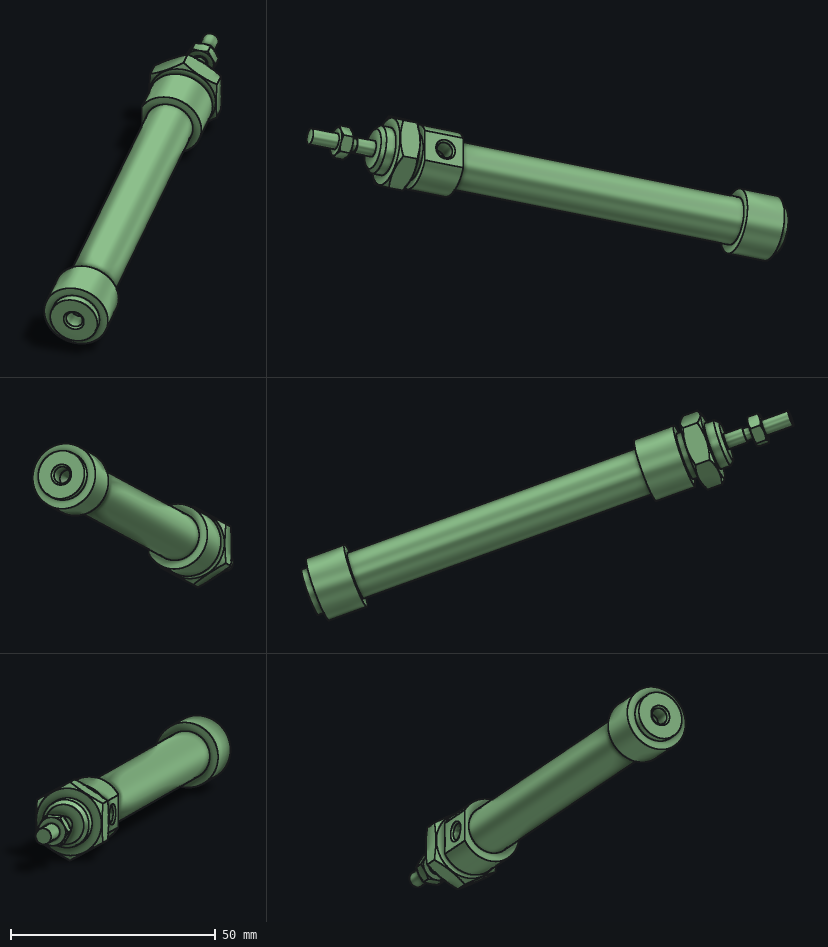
import cadquery as cq
import math

TOTAL_LENGTH = 126.0
TIP_Y = TOTAL_LENGTH / 2
REAR_Y = -TOTAL_LENGTH / 2

ROD_DIAMETER = 4.0
ROD_NECK_DIAMETER = 3.3
THREAD_LENGTH = 12.0
ROD_EXPOSED_LENGTH = 16.9

ROD_NUT_FLATS = 7.0
ROD_NUT_THICKNESS = 3.2
ROD_NUT_FROM_TIP = 6.9
ROD_NUT_CHAMFER_DIAMETER = ROD_NUT_FLATS

TUBE_DIAMETER = 12.0
NOSE_CHAMFER = 1.0
CAP_DIAMETER = 16.3
FRONT_CAP_FROM_TIP = 27.7
FRONT_CAP_LENGTH = 10.3
REAR_CAP_LENGTH = 10.0
REAR_BOSS_LENGTH = 2.0
FLAT_OFFSET = 7.0

PORT_DIAMETER = 4.2
PORT_COUNTERSINK_DIAMETER = 5.2
PORT_FROM_CAP_FRONT = 5.5
SIDE_PORT_FLOOR_OFFSET = 1.8
REAR_PORT_DEPTH = 5.0
DRILL_POINT_ANGLE = 118.0

MOUNT_NUT_FLATS = 17.0
MOUNT_NUT_THICKNESS = 5.4
MOUNT_NUT_FROM_TIP = 20.4
MOUNT_NUT_CHAMFER_DIAMETER = 16.8

NUT_CHAMFER_ANGLE = 30.0
NUT_BLANK_MARGIN = 0.6

NOSE_Y = TIP_Y - ROD_EXPOSED_LENGTH
FRONT_CAP_Y = TIP_Y - FRONT_CAP_FROM_TIP
ROD_INNER_END_Y = FRONT_CAP_Y - FRONT_CAP_LENGTH
REAR_CAP_Y = REAR_Y + REAR_BOSS_LENGTH


def cylinder(diameter, front_y, length):
    """Cylinder on the main axis, running from front_y toward -Y."""
    return cq.Workplane("XZ", origin=(0, front_y, 0)).circle(diameter / 2).extrude(length)


def chamfered_blank(chamfer_diameter, corner_diameter, front_y, thickness):
    """Turned disc whose two rims slope away from the chamfer circles."""
    inner = chamfer_diameter / 2
    outer = corner_diameter / 2 + NUT_BLANK_MARGIN
    drop = (outer - inner) * math.tan(math.radians(NUT_CHAMFER_ANGLE))
    rear_y = front_y - thickness
    profile = [
        (0, front_y),
        (inner, front_y),
        (outer, front_y - drop),
        (outer, rear_y + drop),
        (inner, rear_y),
        (0, rear_y),
    ]
    return cq.Workplane("XY").polyline(profile).close().revolve(360, (0, 0, 0), (0, 1, 0))


def hex_nut(flats, thickness, front_y, bore_diameter, chamfer_diameter, corner_angle):
    """Hexagon nut on the main axis; corner_angle turns a corner away from +X."""
    corners = flats / math.cos(math.pi / 6)
    nut = (
        cq.Workplane("XZ", origin=(0, front_y, 0))
        .transformed(rotate=(0, 0, corner_angle))
        .polygon(6, corners)
        .extrude(thickness)
    )
    nut = nut.intersect(chamfered_blank(chamfer_diameter, corners, front_y, thickness))
    return nut.cut(cylinder(bore_diameter, front_y, thickness))


def port_hole(depth, point_depth):
    """Countersunk blind hole, entering along +Z from the XY plane, with a flat or pointed floor."""
    radius = PORT_DIAMETER / 2
    rim_radius = PORT_COUNTERSINK_DIAMETER / 2
    rim_depth = rim_radius - radius
    profile = [
        (0, 0),
        (rim_radius, 0),
        (radius, rim_depth),
        (radius, depth),
        (0, depth + point_depth),
    ]
    return cq.Workplane("XZ").polyline(profile).close().revolve(360, (0, 0, 0), (0, 1, 0))


def make_rod():
    neck_from_tip = ROD_NUT_FROM_TIP + ROD_NUT_THICKNESS
    neck_front_y = TIP_Y - neck_from_tip
    neck_length = THREAD_LENGTH - neck_from_tip
    rod = cylinder(ROD_DIAMETER, TIP_Y, TIP_Y - ROD_INNER_END_Y)

    groove = cylinder(2 * ROD_DIAMETER, neck_front_y, neck_length)
    groove = groove.cut(cylinder(ROD_NECK_DIAMETER, neck_front_y, neck_length))
    return rod.cut(groove)


def make_body():
    tube = cylinder(TUBE_DIAMETER, NOSE_Y, NOSE_Y - REAR_Y).faces(">Y").chamfer(NOSE_CHAMFER)
    front_cap = cylinder(CAP_DIAMETER, FRONT_CAP_Y, FRONT_CAP_LENGTH)
    rear_cap = cylinder(CAP_DIAMETER, REAR_CAP_Y + REAR_CAP_LENGTH, REAR_CAP_LENGTH)
    body = tube.union(front_cap).union(rear_cap)

    flat_cutter = cq.Workplane("XY").box(CAP_DIAMETER, FRONT_CAP_LENGTH, CAP_DIAMETER)
    flat_x = -FLAT_OFFSET - CAP_DIAMETER / 2
    body = body.cut(flat_cutter.translate((flat_x, FRONT_CAP_Y - FRONT_CAP_LENGTH / 2, 0)))

    side_port = port_hole(FLAT_OFFSET - SIDE_PORT_FLOOR_OFFSET, 0).rotate((0, 0, 0), (0, 1, 0), 90)
    body = body.cut(side_port.translate((-FLAT_OFFSET, FRONT_CAP_Y - PORT_FROM_CAP_FRONT, 0)))

    point_depth = PORT_DIAMETER / 2 / math.tan(math.radians(DRILL_POINT_ANGLE / 2))
    rear_port = port_hole(REAR_PORT_DEPTH, point_depth).rotate((0, 0, 0), (1, 0, 0), -90)
    body = body.cut(rear_port.translate((0, REAR_Y, 0)))

    return body.cut(cylinder(ROD_DIAMETER, NOSE_Y, NOSE_Y - ROD_INNER_END_Y))


rod = make_rod()
body = make_body()
rod_nut = hex_nut(
    flats=ROD_NUT_FLATS,
    thickness=ROD_NUT_THICKNESS,
    front_y=TIP_Y - ROD_NUT_FROM_TIP,
    bore_diameter=ROD_DIAMETER,
    chamfer_diameter=ROD_NUT_CHAMFER_DIAMETER,
    corner_angle=0,
)
mount_nut = hex_nut(
    flats=MOUNT_NUT_FLATS,
    thickness=MOUNT_NUT_THICKNESS,
    front_y=TIP_Y - MOUNT_NUT_FROM_TIP,
    bore_diameter=TUBE_DIAMETER,
    chamfer_diameter=MOUNT_NUT_CHAMFER_DIAMETER,
    corner_angle=30,
)

result = cq.Compound.makeCompound([rod.val(), body.val(), rod_nut.val(), mount_nut.val()])